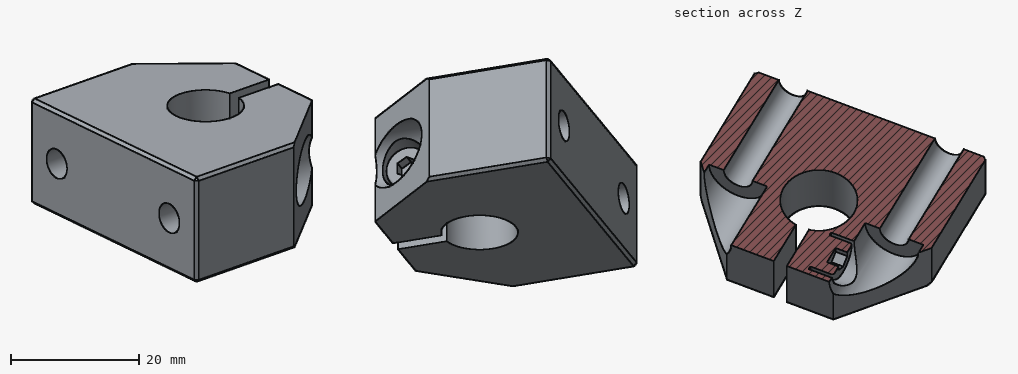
import cadquery as cq

width = 40.0
depth = 33.0
height = 18.0
edge_chamfer = 0.5
back_width = 18.4
side_depth = 20.0
mid_height = height / 2

bore_diameter = 12.0
bore_y = 19.0
slot_width = 2.2

mount_spacing = 27.0
mount_x = mount_spacing / 2
mount_diameter = 4.9
counterbore_diameter = 10.0
counterbore_floor_y = side_depth

screw_y = 28.0
screw_pocket_diameter = 8.0
head_diameter = 7.0
head_height = 4.0
head_rounding = 0.5
hex_across_flats = 3.05
hex_depth = 2.0
head_top_x = counterbore_diameter / 2 - mount_x
head_seat_x = head_top_x + head_height


def make_block():
    block = cq.Workplane("XY").box(width, depth, height, centered=(True, False, False))
    block = block.edges("<Y or (<X and |Y) or (>X and |Y)").chamfer(edge_chamfer)
    for side in (-1, 1):
        corner = (
            cq.Workplane("XY")
            .moveTo(side * width / 2, side_depth)
            .lineTo(side * back_width / 2, depth)
            .lineTo(side * width / 2, depth)
            .close()
            .extrude(height)
        )
        block = block.cut(corner)
    return block


def make_bore_and_slot():
    bore = cq.Workplane("XY").center(0, bore_y).circle(bore_diameter / 2).extrude(height)
    slot_length = depth - bore_y
    slot = (
        cq.Workplane("XY")
        .center(0, bore_y + slot_length / 2)
        .rect(slot_width, slot_length)
        .extrude(height)
    )
    return bore.union(slot)


def cylinder_along_y(x, diameter, start_y):
    """Cylinder at mid height, from start_y to the back of the block."""
    return (
        cq.Workplane("XZ", origin=(x, start_y, mid_height))
        .circle(diameter / 2)
        .extrude(start_y - depth)
    )


def make_screw_pocket():
    return (
        cq.Workplane("YZ", origin=(head_seat_x, screw_y, mid_height))
        .circle(screw_pocket_diameter / 2)
        .extrude(-(head_seat_x + mount_x))
    )


def make_screw_head():
    head = (
        cq.Workplane("YZ", origin=(head_seat_x, screw_y, mid_height))
        .circle(head_diameter / 2)
        .extrude(-head_height)
        .faces("<X")
        .edges()
        .fillet(head_rounding)
    )
    hex_socket = (
        cq.Workplane("YZ", origin=(head_top_x, screw_y, mid_height))
        .polygon(6, hex_across_flats, circumscribed=True)
        .extrude(hex_depth)
    )
    return head.cut(hex_socket)


result = make_block().cut(make_bore_and_slot())
for hole_x in (-mount_x, mount_x):
    result = result.cut(cylinder_along_y(hole_x, mount_diameter, 0))
    result = result.cut(cylinder_along_y(hole_x, counterbore_diameter, counterbore_floor_y))
result = result.cut(make_screw_pocket()).union(make_screw_head())